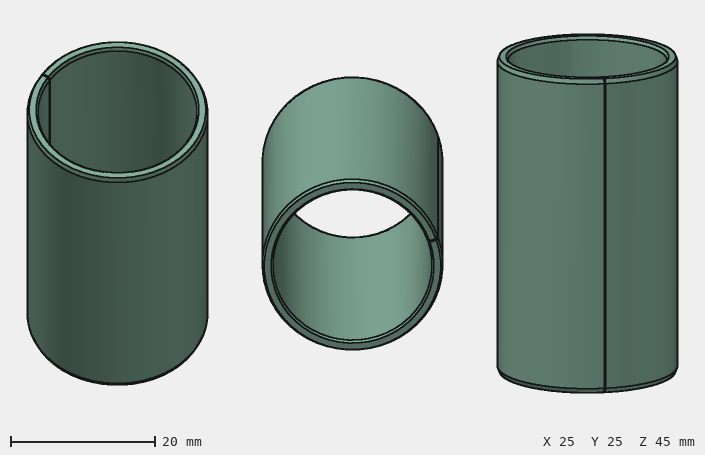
import cadquery as cq

length = 45.0
outer_diameter = 25.0
wall = 1.5
slit_width = 0.2

outer_chamfer_length = 0.68
outer_chamfer_depth = 0.25
inner_chamfer_depth = 0.25
inner_chamfer_length = 0.5

outer_radius = outer_diameter / 2
inner_radius = outer_radius - wall

wall_section = (
    cq.Workplane("XZ")
    .moveTo(inner_radius, inner_chamfer_length)
    .lineTo(inner_radius + inner_chamfer_depth, 0)
    .lineTo(outer_radius - outer_chamfer_depth, 0)
    .lineTo(outer_radius, outer_chamfer_length)
    .lineTo(outer_radius, length - outer_chamfer_length)
    .lineTo(outer_radius - outer_chamfer_depth, length)
    .lineTo(inner_radius + inner_chamfer_depth, length)
    .lineTo(inner_radius, length - inner_chamfer_length)
    .close()
)
tube = wall_section.revolve(360, (0, 0, 0), (0, 1, 0))

slit = cq.Workplane("XY").box(outer_diameter, slit_width, length, centered=False)
result = tube.cut(slit.translate((-outer_diameter, 0, 0)))